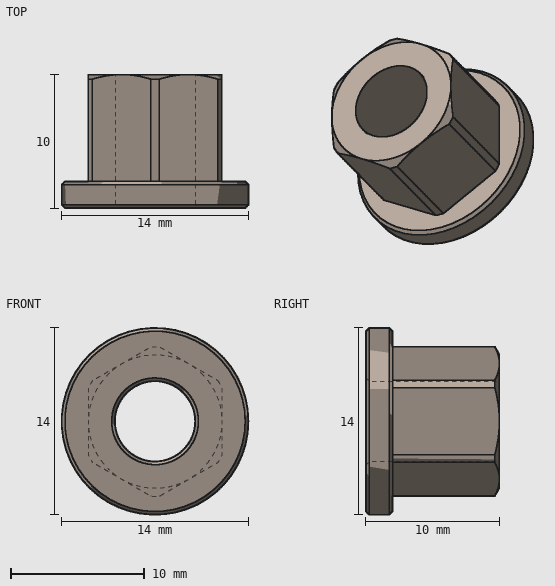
import cadquery as cq
import math

FLANGE_DIAMETER = 14.0
FLANGE_THICKNESS = 2.0
TOTAL_LENGTH = 10.0
ACROSS_FLATS = 10.0
ACROSS_CORNERS = 11.2
BORE_DIAMETER = 6.0
EDGE_CHAMFER = 0.25
CORNER_CHAMFER_ANGLE = 30.0
HEXAGON_SIDES = 6
CORNER_ANGLE = 180.0 / HEXAGON_SIDES

FULL_TURN = 360.0
AXIS_START = (0, 0, 0)
AXIS_END = (0, 1, 0)


def revolve_about_axis(profile):
    """Revolve a closed list of (radius, y) points about the Y axis."""
    outline = cq.Workplane("XY").polyline(profile).close()
    return outline.revolve(FULL_TURN, AXIS_START, AXIS_END)


def make_flange():
    """Disc with both rims chamfered."""
    radius = FLANGE_DIAMETER / 2
    face_radius = radius - EDGE_CHAMFER
    return revolve_about_axis([
        (0, 0),
        (face_radius, 0),
        (radius, EDGE_CHAMFER),
        (radius, FLANGE_THICKNESS - EDGE_CHAMFER),
        (face_radius, FLANGE_THICKNESS),
        (0, FLANGE_THICKNESS),
    ])


def make_hexagon():
    """Hexagon with flats facing +X and -X, its corners rounded and its free end coned."""
    sharp_corner_diameter = ACROSS_FLATS / math.cos(math.radians(CORNER_ANGLE))
    prism = (
        cq.Workplane("XZ")
        .transformed(rotate=(0, 0, CORNER_ANGLE))
        .polygon(HEXAGON_SIDES, sharp_corner_diameter)
        .extrude(-TOTAL_LENGTH)
    )
    flat_radius = ACROSS_FLATS / 2
    corner_radius = ACROSS_CORNERS / 2
    corner_drop = (corner_radius - flat_radius) * math.tan(math.radians(CORNER_CHAMFER_ANGLE))
    turned_blank = revolve_about_axis([
        (0, 0),
        (corner_radius, 0),
        (corner_radius, TOTAL_LENGTH - corner_drop),
        (flat_radius, TOTAL_LENGTH),
        (0, TOTAL_LENGTH),
    ])
    return prism.intersect(turned_blank)


def make_bore():
    """Through bore, chamfered where it opens in the flange face."""
    radius = BORE_DIAMETER / 2
    return revolve_about_axis([
        (0, 0),
        (radius + EDGE_CHAMFER, 0),
        (radius, EDGE_CHAMFER),
        (radius, TOTAL_LENGTH),
        (0, TOTAL_LENGTH),
    ])


result = make_flange().union(make_hexagon()).cut(make_bore())